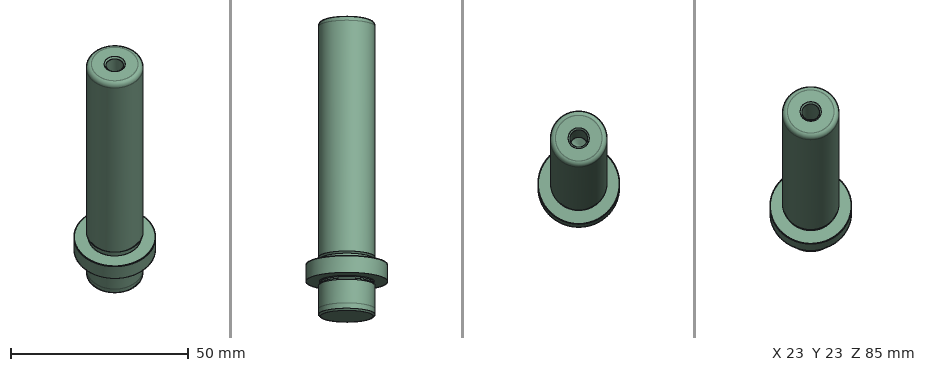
import cadquery as cq
import math

total_height = 85.0
shaft_radius = 8.0
flange_radius = 11.52

lead_top = 2.0
spigot_top = 8.8
flange_bottom = 10.0
flange_top = 15.0
shaft_bottom = 17.0

lead_taper = 0.03
lead_radius = shaft_radius - lead_taper
relief_depth = 0.5
neck_radius = shaft_radius - relief_depth
bottom_chamfer = 0.5
flange_chamfer = 0.2
neck_chamfer = 0.25
shaft_rounding = 1.45

hole_radius = 2.5
hole_depth = 11.9
countersink = 0.5
drill_point_angle = 118.0


def make_body():
    """Revolve the half outline of the pin about Z."""
    rounding_offset = shaft_rounding * (1 - math.sqrt(0.5))
    return (
        cq.Workplane("XZ")
        .lineTo(lead_radius - bottom_chamfer, 0)
        .lineTo(lead_radius, bottom_chamfer)
        .lineTo(shaft_radius, lead_top)
        .lineTo(shaft_radius, spigot_top)
        .lineTo(neck_radius, spigot_top + relief_depth)
        .lineTo(neck_radius, flange_bottom - neck_chamfer)
        .lineTo(neck_radius + neck_chamfer, flange_bottom)
        .lineTo(flange_radius, flange_bottom)
        .lineTo(flange_radius, flange_top - flange_chamfer)
        .lineTo(flange_radius - flange_chamfer, flange_top)
        .lineTo(neck_radius, flange_top)
        .lineTo(neck_radius, shaft_bottom - relief_depth)
        .lineTo(shaft_radius, shaft_bottom)
        .lineTo(shaft_radius, total_height - shaft_rounding)
        .threePointArc(
            (shaft_radius - rounding_offset, total_height - rounding_offset),
            (shaft_radius - shaft_rounding, total_height),
        )
        .lineTo(0, total_height)
        .close()
        .revolve(360, (0, 0), (0, 1))
    )


def make_hole():
    """Countersunk drilled hole with a conical end, as a cutting solid."""
    hole_bottom = total_height - hole_depth
    point_depth = hole_radius / math.tan(math.radians(drill_point_angle / 2))
    return (
        cq.Workplane("XZ")
        .moveTo(0, total_height)
        .lineTo(hole_radius + countersink, total_height)
        .lineTo(hole_radius, total_height - countersink)
        .lineTo(hole_radius, hole_bottom)
        .lineTo(0, hole_bottom - point_depth)
        .close()
        .revolve(360, (0, 0), (0, 1))
    )


result = make_body().cut(make_hole())